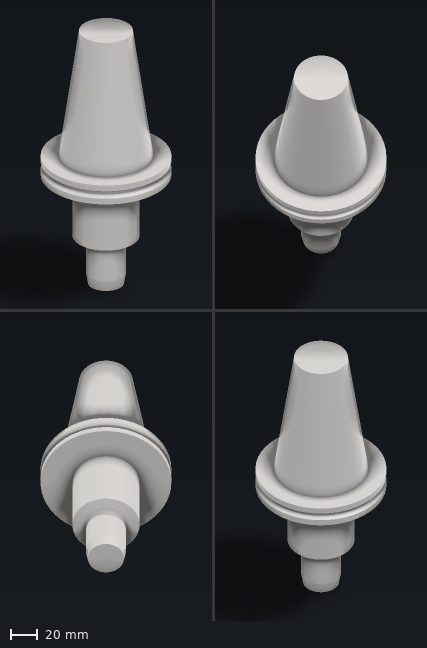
import cadquery as cq
import math

TAPER_TOP_Z = 101.6
FLANGE_TOP_Z = -3.2
FLANGE_BOTTOM_Z = -19.1
GROOVE_CENTER_Z = -11.1
BODY_BOTTOM_Z = -70.1
NECK_BOTTOM_Z = -75.7
PIN_TOP_Z = -76.9
NOSE_TOP_Z = -101.2
NOSE_BOTTOM_Z = -110.0

GAUGE_RADIUS = 69.85 / 2
FLANGE_RADIUS = 97.45 / 2
GROOVE_RADIUS = 91.0 / 2
BODY_RADIUS = 50.0 / 2
PIN_RADIUS = 30.0 / 2
NECK_DEPTH = 0.3
NECK_RADIUS = PIN_RADIUS - NECK_DEPTH
NOSE_RADIUS = 26.9 / 2

TAPER_RATIO = 7 / 24
GROOVE_FLOOR_WIDTH = 2.6
GROOVE_FLANK_ANGLE = 30.0
SHOULDER_ANGLE = 15.0
SHOULDER_FILLET = 2.7
CORNER_TOLERANCE = 0.1


def taper_radius(z):
    """Radius of the steep taper at height z."""
    return GAUGE_RADIUS - z * TAPER_RATIO / 2


def rise(run, angle):
    """Height gained over a radial run at an angle from the horizontal plane."""
    return run * math.tan(math.radians(angle))


def revolve_profile(profile):
    """Turn a closed half section about the Z axis."""
    return profile.close().revolve(360, (0, 0, 0), (0, 1, 0))


def make_shank_taper():
    """Steep machine taper, from its small end down to the flange face."""
    profile = (
        cq.Workplane("XZ")
        .moveTo(0, FLANGE_TOP_Z)
        .lineTo(taper_radius(FLANGE_TOP_Z), FLANGE_TOP_Z)
        .lineTo(taper_radius(TAPER_TOP_Z), TAPER_TOP_Z)
        .lineTo(0, TAPER_TOP_Z)
    )
    return revolve_profile(profile)


def make_flange():
    """Gripper flange with a V groove that has a flat floor."""
    floor_half = GROOVE_FLOOR_WIDTH / 2
    mouth_half = floor_half + rise(FLANGE_RADIUS - GROOVE_RADIUS, GROOVE_FLANK_ANGLE)
    profile = (
        cq.Workplane("XZ")
        .moveTo(0, FLANGE_BOTTOM_Z)
        .lineTo(FLANGE_RADIUS, FLANGE_BOTTOM_Z)
        .lineTo(FLANGE_RADIUS, GROOVE_CENTER_Z - mouth_half)
        .lineTo(GROOVE_RADIUS, GROOVE_CENTER_Z - floor_half)
        .lineTo(GROOVE_RADIUS, GROOVE_CENTER_Z + floor_half)
        .lineTo(FLANGE_RADIUS, GROOVE_CENTER_Z + mouth_half)
        .lineTo(FLANGE_RADIUS, FLANGE_TOP_Z)
        .lineTo(0, FLANGE_TOP_Z)
    )
    return revolve_profile(profile)


def make_body_and_pin():
    """Cylindrical body, conical shoulder, neck undercut, and pin with a tapered nose."""
    shoulder_z = BODY_BOTTOM_Z - rise(BODY_RADIUS - NECK_RADIUS, SHOULDER_ANGLE)
    profile = (
        cq.Workplane("XZ")
        .moveTo(0, NOSE_BOTTOM_Z)
        .lineTo(NOSE_RADIUS, NOSE_BOTTOM_Z)
        .lineTo(PIN_RADIUS, NOSE_TOP_Z)
        .lineTo(PIN_RADIUS, PIN_TOP_Z)
        .lineTo(NECK_RADIUS, NECK_BOTTOM_Z)
        .lineTo(NECK_RADIUS, shoulder_z)
        .lineTo(BODY_RADIUS, BODY_BOTTOM_Z)
        .lineTo(BODY_RADIUS, FLANGE_BOTTOM_Z)
        .lineTo(0, FLANGE_BOTTOM_Z)
    )
    corner = cq.selectors.BoxSelector(
        (-BODY_RADIUS, -BODY_RADIUS, shoulder_z - CORNER_TOLERANCE),
        (BODY_RADIUS, BODY_RADIUS, shoulder_z + CORNER_TOLERANCE),
        boundingbox=True,
    )
    return revolve_profile(profile).edges(corner).fillet(SHOULDER_FILLET)


result = make_shank_taper().union(make_flange()).union(make_body_and_pin())